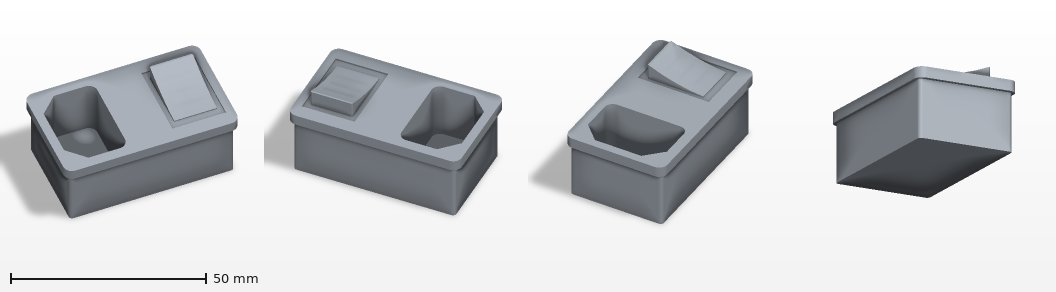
import cadquery as cq

flange_width = 29.1
flange_length = 48.15
flange_thickness = 3.0
flange_corner_radius = 2.4

body_width = 27.15
body_length = 45.55
body_height = 15.9
body_corner_radius = 0.95

recess_width = 20.9
recess_length = 14.85
recess_depth = 0.5
recess_center_y = 14.3

rocker_left = -8.5
rocker_right = 8.05
rocker_length = 11.9
rocker_height = 3.85
rocker_edge_radius = 0.5
rocker_mid_x = -2.7
rocker_mid_z = 1.9
rocker_low_z = -0.15

socket_width = 23.3
socket_length = 15.9
socket_center_y = -13.73
socket_corner_radius = 2.4
socket_chamfer = 4.8
socket_floor = flange_thickness
socket_depth = flange_thickness + body_height - socket_floor


def rounded_block(width, length, height, radius, top_z):
    """Block with rounded vertical edges, hanging down from top_z."""
    block = cq.Workplane("XY").workplane(offset=top_z).rect(width, length).extrude(-height)
    return block.edges("|Z").fillet(radius)


def rocker():
    profile = (
        cq.Workplane("XZ", origin=(0, recess_center_y, 0))
        .moveTo(rocker_left, -recess_depth)
        .lineTo(rocker_left, rocker_height)
        .lineTo(rocker_left + rocker_edge_radius, rocker_height)
        .threePointArc((rocker_mid_x, rocker_mid_z), (rocker_right, rocker_low_z))
        .lineTo(rocker_right, -recess_depth)
        .close()
    )
    solid = profile.extrude(rocker_length / 2, both=True)
    return solid.faces("<X").edges("|Z").fillet(rocker_edge_radius)


def socket():
    cavity = (
        cq.Workplane("XY", origin=(0, socket_center_y, 0))
        .rect(socket_width, socket_length)
        .extrude(-socket_depth)
    )
    cavity = cavity.edges("|Z and >Y").fillet(socket_corner_radius)
    return cavity.faces("<Y").edges("|Z").chamfer(socket_chamfer)


flange = rounded_block(flange_width, flange_length, flange_thickness, flange_corner_radius, 0)
body = rounded_block(body_width, body_length, body_height, body_corner_radius, -flange_thickness)
recess = (
    cq.Workplane("XY", origin=(0, recess_center_y, 0))
    .rect(recess_width, recess_length)
    .extrude(-recess_depth)
)

result = flange.union(body).cut(recess).union(rocker()).cut(socket())